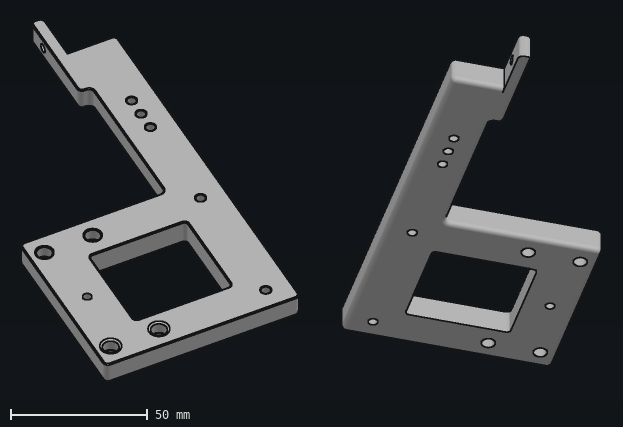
import cadquery as cq

length = 170.3
width = 80.0
thickness = 10.0

arm_left = 20.0
arm_width = 20.1
tab_right = 39.9
tab_width = 5.0
block_left = 100.2
arm_front = width - arm_width
tab_front = arm_front - tab_width

corner_radius = 2.0
bottom_radius = 2.0
top_chamfer = 0.43

window_left = 117.0
window_length = 37.3
window_width = 39.9
window_corner_radius = 1.5

arm_hole_y = width - arm_width / 2
arm_hole_xs = (52.5, 60.1, 67.8, 108.7, 161.8)
arm_hole_diameter = 3.5
arm_sink_diameter = 4.3

mount_hole_ys = (6.3, 26.0)
mount_through_diameter = 5.1
mount_bore_depth = thickness / 2
left_mount_x = 108.2
left_bore_diameter = 6.0
left_sink_diameter = 7.0
right_mount_x = 162.2
right_bore_diameter = 6.1
right_sink_diameter = 8.0

plain_hole_diameter = 3.4
pin_hole_x = 135.6
pin_hole_y = 10.0
tab_hole_x = 10.0
tab_hole_z = 5.8

sink_angle = 120
flare_angle = 45

tolerance = 0.02


def is_tab_corner(edge):
    """True for the two upright edges at the free end of the tab."""
    return edge.Center().x < tolerance


def is_sharp_corner(edge):
    """True for the upright edge where the back of the tab meets the end of the arm."""
    center = edge.Center()
    return abs(center.x - arm_left) < tolerance and abs(center.y - arm_front) < tolerance


def is_dressed_edge(edge):
    """True for outline edges except those on the end and on the back side of the tab."""
    center = edge.Center()
    on_tab_end = center.x < tolerance
    on_tab_back = center.x < arm_left - tolerance and center.y > arm_front - tolerance
    return not (on_tab_end or on_tab_back)


def make_plate():
    """Plate with round corners, a rounded bottom edge and a chamfered top edge."""
    outline = [
        (0, tab_front),
        (tab_right, tab_front),
        (tab_right, arm_front),
        (block_left, arm_front),
        (block_left, 0),
        (length, 0),
        (length, width),
        (arm_left, width),
        (arm_left, arm_front),
        (0, arm_front),
    ]
    blank = cq.Workplane("XY").polyline(outline).close().extrude(thickness)
    upright_edges = blank.edges("|Z").filter(lambda edge: not is_sharp_corner(edge))
    rounded = upright_edges.fillet(corner_radius)

    outer_corners = upright_edges.filter(lambda edge: not is_tab_corner(edge))
    dressed = outer_corners.fillet(corner_radius)
    dressed = dressed.faces("<Z").edges().filter(is_dressed_edge).fillet(bottom_radius)
    dressed = dressed.faces(">Z").edges().filter(is_dressed_edge).chamfer(top_chamfer)
    return dressed.intersect(rounded)


def make_window():
    """Cutter for the window: a rounded rectangle that flares out at the top face."""
    center_x = window_left + window_length / 2
    center_y = arm_front - window_width / 2
    opening = cq.Sketch().rect(window_length, window_width).vertices().fillet(window_corner_radius)
    straight = cq.Workplane("XY").placeSketch(opening).extrude(thickness)
    wide_opening = (
        cq.Sketch()
        .rect(window_length + 2 * top_chamfer, window_width + 2 * top_chamfer)
        .vertices()
        .fillet(window_corner_radius + top_chamfer)
    )
    flare = (
        cq.Workplane("XY", origin=(0, 0, thickness))
        .placeSketch(wide_opening)
        .extrude(-top_chamfer, taper=flare_angle)
    )
    return straight.union(flare).translate((center_x, center_y, 0))


def mark_top(body, points):
    """Mark hole centres on the top face, in part coordinates."""
    return body.faces(">Z").workplane(origin=(0, 0, thickness)).pushPoints(points)


def drill_mounts(body, x, bore_diameter, sink_diameter):
    """A pair of through holes with a wider upper bore and a countersink."""
    points = [(x, y) for y in mount_hole_ys]
    body = mark_top(body, points).cboreHole(mount_through_diameter, bore_diameter, mount_bore_depth)
    return mark_top(body, points).cskHole(mount_through_diameter, sink_diameter, sink_angle)


def make_tab_hole():
    """Cutter for the hole that crosses the tab from front to back."""
    start = cq.Workplane("XZ", origin=(tab_hole_x, arm_front, tab_hole_z))
    return start.circle(plain_hole_diameter / 2).extrude(tab_width)


result = make_plate().cut(make_window())
arm_points = [(x, arm_hole_y) for x in arm_hole_xs]
result = mark_top(result, arm_points).cskHole(arm_hole_diameter, arm_sink_diameter, sink_angle)
result = drill_mounts(result, left_mount_x, left_bore_diameter, left_sink_diameter)
result = drill_mounts(result, right_mount_x, right_bore_diameter, right_sink_diameter)
result = mark_top(result, [(pin_hole_x, pin_hole_y)]).hole(plain_hole_diameter)
result = result.cut(make_tab_hole())